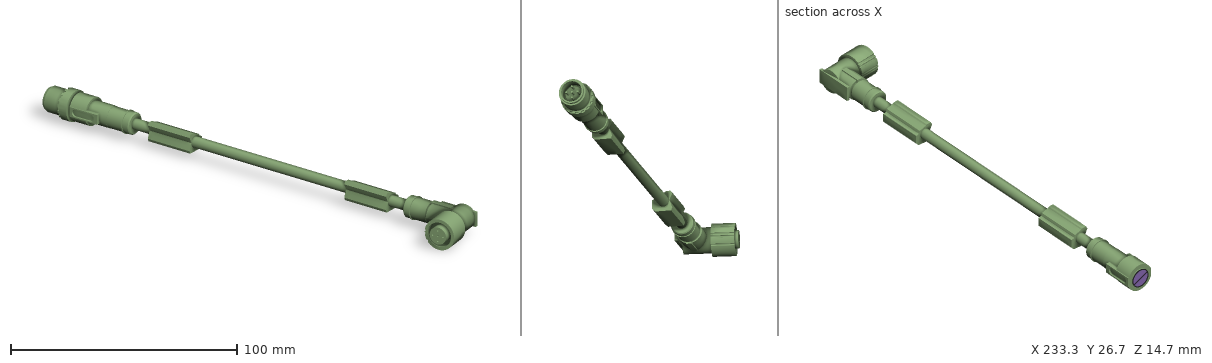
import cadquery as cq
import math

OVERALL_LENGTH = 233.3

TIP_LENGTH = 1.5
TIP_RADIUS = 5.4
THREAD_RADIUS = 6.0
RING_START = 9.5
RING_END = 14.5
RING_RADIUS = 7.35
RING_NOTCHES = 16
RING_NOTCH_WIDTH = 1.5
RING_NOTCH_DEPTH = 0.7
RING_NOTCH_LENGTH = 1.0
GRIP_START = 15.6
GRIP_END = 24.3
GRIP_RADIUS = 6.65
PLUG_BODY_RADIUS = 5.1
PLUG_BODY_END = 34.8
NECK_RADIUS = 4.5

PAD_END = 30.8
PAD_WIDTH = 4.7
RECESS_START = 17.0
RECESS_END = 29.0
RECESS_WIDTH = 3.5
RECESS_DEPTH = 1.0

CONTACT_CIRCLE_RADIUS = 2.5
CONTACT_DIAMETER = 1.0
SOCKET_RADIUS = 4.7
SOCKET_DEPTH = 5.8
SOCKET_BASE_RADIUS = 3.7
SOCKET_BASE_HEIGHT = 1.5
PIN_LENGTH = 5.1
PIN_ROOT = 1.5

RELIEF_LENGTH = 12.1
RELIEF_RADIUS = 5.02
RIM_RADIUS = 5.48
RIM_WIDTH = 0.5
COLLAR_LENGTH = 3.5
COLLAR_RADIUS = 5.1
COLLAR_CHAMFER = 0.5

CABLE_RADIUS = 2.5
CARRIER_LENGTH = 22.9
CARRIER_STARTS = (56.7, 164.3)

ELBOW_ENTRY = 197.0
ELBOW_GRIP_START = 210.2
ELBOW_GRIP_HALF_HEIGHT = 5.25
ELBOW_BACK = 6.65
ELBOW_FRONT = -5.95
ELBOW_PLATE_END = 229.3
ELBOW_PLATE_THICKNESS = 1.5
ELBOW_PLATE_WIDTH = 7.0
SIDE_PAD_START = 209.5
SIDE_PAD_END = 220.2
SIDE_PAD_WIDTH = 2.5
SIDE_PAD_REACH = 5.72

OUTLET_TILT = 8.0
OUTLET_RADIUS = 5.8
OUTLET_BACK = 5.8
NUT_START = 7.0
NUT_END = 17.5
NUT_RADIUS = 7.35
NUT_BORE_RADIUS = 5.8
NUT_BORE_DEPTH = 3.5
INSERT_END = 19.0
INSERT_RADIUS = 4.08
CONTACT_HOLE_DEPTH = 3.5
FLUTE_RADIUS = 0.5
FLUTE_ANGLES = (-34, -5, 5, 34, 46)

TILT_RADIANS = math.radians(OUTLET_TILT)
NUT_REACH = NUT_RADIUS * math.cos(TILT_RADIANS) + NUT_END * math.sin(TILT_RADIANS)
OUTLET_X = OVERALL_LENGTH - NUT_REACH


def rod(start, end, radius):
    """Cylinder on the cable axis."""
    return cq.Workplane("YZ").workplane(offset=start).circle(radius).extrude(end - start)


def block(x_range, y_range, z_range):
    """Box given by its limits along each axis."""
    size = [high - low for low, high in (x_range, y_range, z_range)]
    corner = (x_range[0], y_range[0], z_range[0])
    return cq.Workplane("XY").box(*size, centered=False).translate(corner)


def contact_points():
    """Contact positions in the plane of a mating face."""
    r = CONTACT_CIRCLE_RADIUS
    return [(0, 0), (r, 0), (0, r), (-r, 0), (0, -r)]


def knurled_ring():
    ring = rod(RING_START, RING_END, RING_RADIUS)
    notches = (
        cq.Workplane("YZ")
        .workplane(offset=RING_START)
        .polarArray(RING_RADIUS, 0, 360, RING_NOTCHES)
        .rect(2 * RING_NOTCH_DEPTH, RING_NOTCH_WIDTH)
        .extrude(RING_NOTCH_LENGTH)
    )
    return ring.cut(notches)


def plug_pads():
    """Strip raised on the +Y and -Y sides of the plug, and the recesses cut into it."""
    strip = block((GRIP_START, PAD_END), (-GRIP_RADIUS, GRIP_RADIUS), (-PAD_WIDTH / 2, PAD_WIDTH / 2))
    length = RECESS_END - RECESS_START
    middle = (RECESS_START + RECESS_END) / 2
    floor = GRIP_RADIUS - RECESS_DEPTH
    recess = (
        cq.Workplane("XZ", origin=(middle, -floor, 0))
        .slot2D(length, RECESS_WIDTH)
        .extrude(2 * RECESS_DEPTH)
    )
    return strip, recess.union(recess.mirror("XZ"))


def straight_plug():
    strip, recesses = plug_pads()
    shell = (
        rod(0, TIP_LENGTH, TIP_RADIUS)
        .union(rod(TIP_LENGTH, RING_START, THREAD_RADIUS))
        .union(knurled_ring())
        .union(rod(RING_END, GRIP_START, NECK_RADIUS))
        .union(rod(GRIP_START, GRIP_END, GRIP_RADIUS))
        .union(rod(GRIP_END, PLUG_BODY_END, PLUG_BODY_RADIUS))
        .union(strip)
        .cut(recesses)
        .cut(rod(0, SOCKET_DEPTH, SOCKET_RADIUS))
    )
    pins = (
        cq.Workplane("YZ")
        .workplane(offset=SOCKET_DEPTH - PIN_LENGTH)
        .pushPoints(contact_points())
        .circle(CONTACT_DIAMETER / 2)
        .extrude(PIN_LENGTH + PIN_ROOT)
    )
    base = rod(SOCKET_DEPTH - SOCKET_BASE_HEIGHT, SOCKET_DEPTH, SOCKET_BASE_RADIUS)
    return shell.union(base).union(pins)


def strain_relief():
    """Relief with its cable entry at x = 0, widening towards +X."""
    collar = rod(0, COLLAR_LENGTH, COLLAR_RADIUS).faces("<X").chamfer(COLLAR_CHAMFER)
    rim = rod(COLLAR_LENGTH, COLLAR_LENGTH + RIM_WIDTH, RIM_RADIUS)
    return collar.union(rim).union(rod(COLLAR_LENGTH, RELIEF_LENGTH, RELIEF_RADIUS))


def label_carrier(start):
    """Clip of constant section with label rails along its upper and -Y sides."""
    outline = [
        (-1.0, 4.5),
        (-3.3, 4.7),
        (-4.08, 3.3),
        (-2.68, 0.35),
        (-3.0, -0.35),
        (-4.08, -3.15),
        (-3.5, -4.55),
        (3.7, -4.55),
        (5.1, -3.15),
        (5.1, 1.0),
        (4.2, 1.05),
        (3.5, 1.5),
        (3.0, 2.68),
        (-0.5, 4.0),
    ]
    return cq.Workplane("YZ").workplane(offset=start).polyline(outline).close().extrude(CARRIER_LENGTH)


def outlet_rod(start, end, radius):
    """Cylinder on the outlet axis, before the outlet is tilted."""
    plane = cq.Workplane("XZ", origin=(OUTLET_X, -start, 0))
    return plane.circle(radius).extrude(end - start)


def coupling_nut():
    """Nut with lengthwise flutes on its -X side and an open bore at its mating end."""
    nut = outlet_rod(NUT_START, NUT_END, NUT_RADIUS)
    flute = outlet_rod(NUT_START, NUT_END, FLUTE_RADIUS).translate((-NUT_RADIUS, 0, 0))
    for angle in FLUTE_ANGLES:
        nut = nut.cut(flute.rotate((OUTLET_X, 0, 0), (OUTLET_X, 1, 0), angle))
    return nut.cut(outlet_rod(NUT_END - NUT_BORE_DEPTH, NUT_END, NUT_BORE_RADIUS))


def outlet():
    contact_holes = (
        cq.Workplane("XZ", origin=(OUTLET_X, 0, 0))
        .workplane(offset=INSERT_END - CONTACT_HOLE_DEPTH)
        .pushPoints(contact_points())
        .circle(CONTACT_DIAMETER / 2)
        .extrude(CONTACT_HOLE_DEPTH)
    )
    upright = (
        outlet_rod(-OUTLET_BACK, NUT_START, OUTLET_RADIUS)
        .union(coupling_nut())
        .union(outlet_rod(NUT_START, INSERT_END, INSERT_RADIUS))
        .cut(contact_holes)
    )
    return upright.rotate((OUTLET_X, 0, 0), (OUTLET_X, 0, 1), OUTLET_TILT)


def elbow():
    relief_end = ELBOW_ENTRY + RELIEF_LENGTH
    grip = (
        cq.Workplane("YZ")
        .workplane(offset=ELBOW_GRIP_START)
        .moveTo(ELBOW_FRONT, 0)
        .threePointArc((0, ELBOW_GRIP_HALF_HEIGHT), (-ELBOW_FRONT, 0))
        .threePointArc((0, -ELBOW_GRIP_HALF_HEIGHT), (ELBOW_FRONT, 0))
        .close()
        .extrude(OUTLET_X - ELBOW_GRIP_START)
    )
    grip_neck = rod(relief_end, ELBOW_GRIP_START, NECK_RADIUS)
    back_plate = block(
        (ELBOW_GRIP_START, ELBOW_PLATE_END),
        (ELBOW_BACK - ELBOW_PLATE_THICKNESS, ELBOW_BACK),
        (-ELBOW_PLATE_WIDTH / 2, ELBOW_PLATE_WIDTH / 2),
    )
    side_pads = block(
        (SIDE_PAD_START, SIDE_PAD_END),
        (-SIDE_PAD_WIDTH / 2, SIDE_PAD_WIDTH / 2),
        (-SIDE_PAD_REACH, SIDE_PAD_REACH),
    )
    relief = strain_relief().translate((ELBOW_ENTRY, 0, 0))
    return relief.union(grip).union(grip_neck).union(back_plate).union(side_pads).union(outlet())


plug_relief = strain_relief().mirror("YZ").translate((PLUG_BODY_END + RELIEF_LENGTH, 0, 0))
result = straight_plug().union(plug_relief).union(rod(PLUG_BODY_END, OUTLET_X, CABLE_RADIUS)).union(elbow())
for carrier_start in CARRIER_STARTS:
    result = result.union(label_carrier(carrier_start))